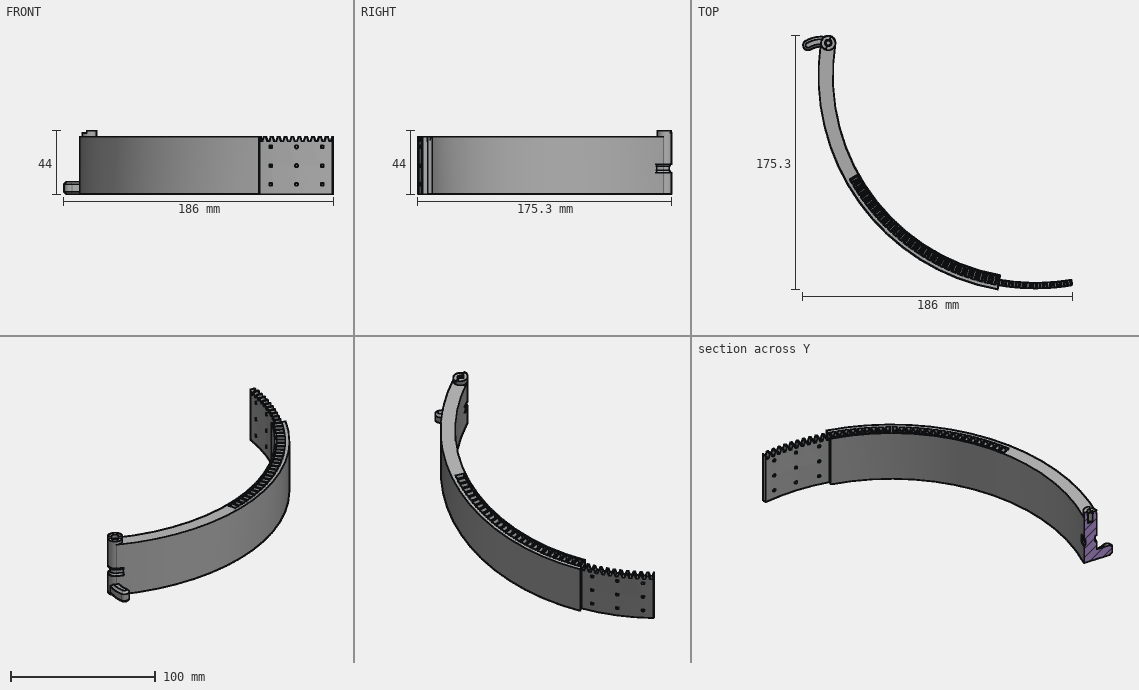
import cadquery as cq
import math

MID_RADIUS = 144.9
STRAP_WIDTH = 10.0
STRAP_INNER = MID_RADIUS - STRAP_WIDTH / 2
STRAP_OUTER = MID_RADIUS + STRAP_WIDTH / 2
STRAP_HEIGHT = 40.0
STRAP_START = 171
STRAP_END = 260
BOTTOM_CHAMFER = 0.4

TONGUE_INNER = 143.0
TONGUE_OUTER = 147.0
TONGUE_END = 280
TONGUE_TIP_CHAMFER = 0.7
TONGUE_ROOT = 5

PIN_HOLE_DIAMETER = 2.0
PIN_HOLE_ANGLES = (263, 270, 277)
PIN_HOLE_HEIGHTS = (7.0, 19.9, 33.0)

GAP_COUNT = 38
FIRST_GAP_ANGLE = 209.8
LAST_GAP_ANGLE = 279.2
GAP_PITCH = (LAST_GAP_ANGLE - FIRST_GAP_ANGLE) / (GAP_COUNT - 1)
GAP_DEPTH = 3.2
GAP_TOP_WIDTH = 3.5
GAP_ROOT_WIDTH = 1.5
GAP_INNER = 141.0

BOSS_DIAMETER = STRAP_WIDTH
BOSS_HEIGHT = 44.0
STEP_HEIGHT = 1.5
STEP_ANGLE = 68
BORE_DIAMETER = 3.3
COUNTERBORE_DIAMETER = 4.7
COUNTERBORE_DEPTH = 3.0
BORE_DEPTH = 10.0

SLOT_BOTTOM = 15.0
SLOT_TOP = 21.0
SLOT_RADIUS = 6.9
SLOT_LIP_DEPTH = 0.5
SLOT_WAIST_DEPTH = 1.5
SLOT_SLOPE_RISE = 1.7

HANDLE_WIDTH = 7.0
HANDLE_HEIGHT = 9.0
HANDLE_CHAMFER = 1.9
HANDLE_BEND_RADIUS = 19.0
HANDLE_BEND_X = -4.5
HANDLE_BEND_Y = -18.0
HANDLE_TIP_X = -14.0

CUT_MARGIN = 1.9


def polar(radius, degrees):
    angle = math.radians(degrees)
    return radius * math.cos(angle), radius * math.sin(angle)


BOSS_X, BOSS_Y = polar(MID_RADIUS, STRAP_START)


def arc_band(inner, outer, start, end, height):
    """Vertical band between two radii and two angles."""
    middle = (start + end) / 2
    return (
        cq.Workplane("XY")
        .moveTo(*polar(outer, start))
        .threePointArc(polar(outer, middle), polar(outer, end))
        .lineTo(*polar(inner, end))
        .threePointArc(polar(inner, middle), polar(inner, start))
        .close()
        .extrude(height)
    )


def boss_cylinder(diameter, bottom, top):
    return (
        cq.Workplane("XY", origin=(BOSS_X, BOSS_Y, bottom))
        .circle(diameter / 2)
        .extrude(top - bottom)
    )


def make_strap():
    band = arc_band(STRAP_INNER, STRAP_OUTER, STRAP_START, STRAP_END, STRAP_HEIGHT)
    foot = boss_cylinder(BOSS_DIAMETER, 0, STRAP_HEIGHT)
    return band.union(foot).faces("<Z").edges().chamfer(BOTTOM_CHAMFER)


def make_tongue():
    tongue = arc_band(TONGUE_INNER, TONGUE_OUTER, STRAP_END - TONGUE_ROOT, TONGUE_END, STRAP_HEIGHT)
    tip_corner = (*polar(TONGUE_OUTER, TONGUE_END), STRAP_HEIGHT / 2)
    tongue = tongue.edges(cq.selectors.NearestToPointSelector(tip_corner)).chamfer(TONGUE_TIP_CHAMFER)
    for angle in PIN_HOLE_ANGLES:
        for height in PIN_HOLE_HEIGHTS:
            x, y = polar(TONGUE_INNER - CUT_MARGIN, angle)
            direction = cq.Vector(*polar(1, angle))
            length = TONGUE_OUTER - TONGUE_INNER + 2 * CUT_MARGIN
            start = cq.Vector(x, y, height)
            hole = cq.Solid.makeCylinder(PIN_HOLE_DIAMETER / 2, length, start, direction)
            tongue = tongue.cut(cq.Workplane(hole))
    return tongue


def make_handle():
    """Bent arm with a round tip and chamfered top and bottom edges."""
    inner = HANDLE_BEND_RADIUS - HANDLE_WIDTH / 2
    outer = HANDLE_BEND_RADIUS + HANDLE_WIDTH / 2
    tip_angle = math.degrees(math.acos((HANDLE_TIP_X - HANDLE_BEND_X) / HANDLE_BEND_RADIUS))
    root_angle = math.degrees(math.acos(-HANDLE_BEND_X / HANDLE_BEND_RADIUS))
    tip = polar(HANDLE_BEND_RADIUS, tip_angle)
    arm = arc_band(inner, outer, root_angle, tip_angle, HANDLE_HEIGHT)
    cap = cq.Workplane("XY").center(*tip).circle(HANDLE_WIDTH / 2).extrude(HANDLE_HEIGHT)
    handle = arm.union(cap).faces("<Z or >Z").edges().chamfer(HANDLE_CHAMFER)
    return handle.translate((BOSS_X + HANDLE_BEND_X, BOSS_Y + HANDLE_BEND_Y, 0))


def make_rack_gaps():
    """One tapered gap, repeated along the rack."""
    gap = (
        cq.Workplane("YZ", origin=(GAP_INNER, 0, STRAP_HEIGHT))
        .polyline(
            [
                (-GAP_TOP_WIDTH / 2, 0),
                (-GAP_ROOT_WIDTH / 2, -GAP_DEPTH),
                (GAP_ROOT_WIDTH / 2, -GAP_DEPTH),
                (GAP_TOP_WIDTH / 2, 0),
            ]
        )
        .close()
        .extrude(TONGUE_OUTER - GAP_INNER)
    )
    gaps = cq.Workplane("XY")
    for index in range(GAP_COUNT):
        angle = FIRST_GAP_ANGLE + index * GAP_PITCH
        gaps = gaps.add(gap.rotate((0, 0, 0), (0, 0, 1), angle))
    return gaps.combine()


def make_boss_step():
    """Block that lowers the outward half of the boss top."""
    return (
        cq.Workplane("XY")
        .rect(2 * BOSS_DIAMETER, BOSS_DIAMETER)
        .extrude(STEP_HEIGHT)
        .translate((0, BOSS_DIAMETER / 2, BOSS_HEIGHT - STEP_HEIGHT))
        .rotate((0, 0, 0), (0, 0, 1), STEP_ANGLE)
        .translate((BOSS_X, BOSS_Y, 0))
    )


def make_slot():
    """Disc around the boss, less a waisted core that follows the boss and the strap."""
    disc = boss_cylinder(2 * SLOT_RADIUS, SLOT_BOTTOM, SLOT_TOP)
    half_lip = BOSS_DIAMETER / 2 - SLOT_LIP_DEPTH
    half_waist = BOSS_DIAMETER / 2 - SLOT_WAIST_DEPTH
    waist = [
        (0, SLOT_BOTTOM),
        (half_lip, SLOT_BOTTOM),
        (half_waist, SLOT_BOTTOM + SLOT_SLOPE_RISE),
        (half_waist, SLOT_TOP - SLOT_SLOPE_RISE),
        (half_lip, SLOT_TOP),
        (0, SLOT_TOP),
    ]
    round_core = cq.Workplane("XZ").polyline(waist).close().revolve(360, (0, 0, 0), (0, 1, 0))
    half_core = cq.Workplane("XZ").polyline(waist).close().extrude(SLOT_RADIUS)
    core = (
        round_core.union(half_core)
        .union(half_core.mirror("YZ"))
        .rotate((0, 0, 0), (0, 0, 1), STRAP_START - 180)
        .translate((BOSS_X, BOSS_Y, 0))
    )
    return disc.cut(core)


bore = boss_cylinder(BORE_DIAMETER, BOSS_HEIGHT - BORE_DEPTH, BOSS_HEIGHT)
counterbore = boss_cylinder(COUNTERBORE_DIAMETER, BOSS_HEIGHT - COUNTERBORE_DEPTH, BOSS_HEIGHT)

result = (
    make_strap()
    .union(boss_cylinder(BOSS_DIAMETER, STRAP_HEIGHT, BOSS_HEIGHT))
    .union(make_tongue())
    .union(make_handle())
    .cut(make_rack_gaps())
    .cut(make_slot())
    .cut(make_boss_step())
    .cut(bore)
    .cut(counterbore)
)